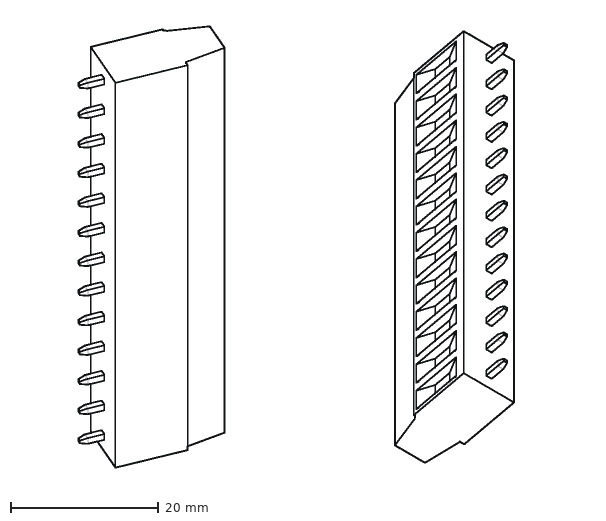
import cadquery as cq

way_count = 13
body_length = 65.0
pitch = body_length / way_count
body_width = 8.9
half_width = body_width / 2
body_depth = 16.8

nose_half_width = 2.65
nose_height = 6.2
nose_base_left = 3.9
nose_base_right = 3.7
bevel_width = 0.3
bevel_height = 0.45

entry_front = 1.6
entry_width = 8.45
entry_height = 3.5
entry_depth = 1.05
entry_floor_front = 4.2
entry_floor_width = 3.05
entry_floor_height = 2.8

pin_size = 1.0
pin_tip_width = 0.6
pin_tip_height = 0.45
pin_shank_length = 2.5
overall_depth = 20.3
pin_length = overall_depth - body_depth
pin_tip_length = pin_length - pin_shank_length


def make_body():
    """Constant XY outline over the full length."""
    shoulder = body_depth - nose_height
    outline = [
        (-half_width, 0),
        (half_width, 0),
        (half_width, shoulder),
        (nose_base_right, shoulder),
        (nose_half_width, body_depth),
        (-nose_half_width, body_depth),
        (-nose_base_left, shoulder + bevel_height),
        (-nose_base_left - bevel_width, shoulder),
        (-half_width, shoulder),
    ]
    return cq.Workplane("XY").polyline(outline).close().extrude(body_length)


def make_entry(z_center):
    """Four-sided funnel narrowing from the -X side to a flat floor."""
    mouth_y = entry_front + entry_width / 2
    floor_y = entry_floor_front + entry_floor_width / 2
    return (
        cq.Workplane("YZ", origin=(-half_width, mouth_y, z_center))
        .rect(entry_width, entry_height)
        .workplane(offset=entry_depth)
        .center(floor_y - mouth_y, 0)
        .rect(entry_floor_width, entry_floor_height)
        .loft(ruled=True)
    )


def make_pin(z_center):
    """Square shank toward -Y, ending in a tapered tip."""
    shank = (
        cq.Workplane("XZ", origin=(0, 0, z_center))
        .rect(pin_size, pin_size)
        .extrude(pin_shank_length)
    )
    tip = (
        cq.Workplane("XZ", origin=(0, -pin_shank_length, z_center))
        .rect(pin_size, pin_size)
        .workplane(offset=pin_tip_length)
        .rect(pin_tip_width, pin_tip_height)
        .loft(ruled=True)
    )
    return shank.union(tip)


result = make_body()
for way in range(way_count):
    way_z = (way + 0.5) * pitch
    result = result.cut(make_entry(way_z)).union(make_pin(way_z))